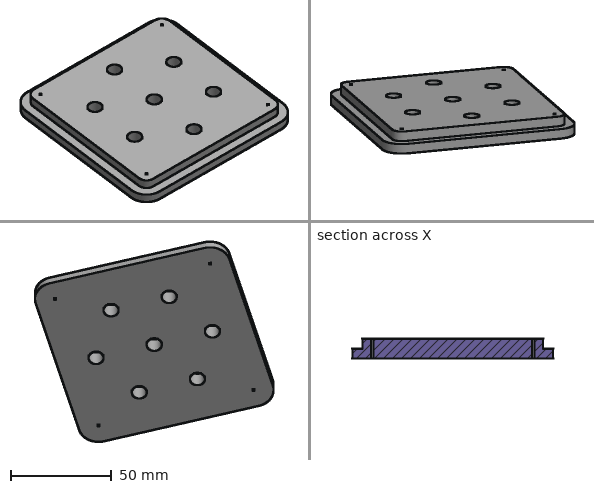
import cadquery as cq

base_side = 100.0
base_corner_radius = 10.0
layer_thickness = 5.0

ledge_width = 5.0
raised_side = base_side - 2 * ledge_width
raised_corner_radius = base_corner_radius - ledge_width

center_hole_diameter = 7.6
ring_hole_diameter = 7.5
ring_radius = 30.0
ring_hole_count = 6

pin_hole_diameter = 1.0
pin_hole_spacing = base_side - 2 * base_corner_radius


def rounded_plate(side, corner_radius, bottom):
    """Square plate with rounded vertical edges, standing on height bottom."""
    plate = cq.Workplane("XY", origin=(0, 0, bottom)).rect(side, side).extrude(layer_thickness)
    return plate.edges("|Z").fillet(corner_radius)


base = rounded_plate(base_side, base_corner_radius, 0)
raised = rounded_plate(raised_side, raised_corner_radius, layer_thickness)
body = base.union(raised)

body = body.faces(">Z").workplane(origin=(0, 0, 0)).hole(center_hole_diameter)
body = (
    body.faces(">Z").workplane(origin=(0, 0, 0))
    .polarArray(ring_radius, 0, 360, ring_hole_count)
    .hole(ring_hole_diameter)
)

result = (
    body.faces(">Z").workplane(origin=(0, 0, 0))
    .rect(pin_hole_spacing, pin_hole_spacing, forConstruction=True)
    .vertices()
    .hole(pin_hole_diameter)
)